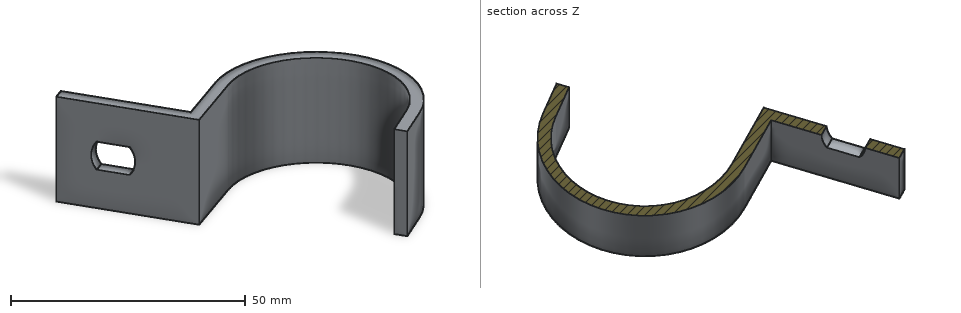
import cadquery as cq
import math

overall_length = 76.1
overall_depth = 40.95
width = 25.0
thickness = 3.0
outer_radius = 23.0
inner_radius = outer_radius - thickness

flange_length = 32.5
hole_x = 12.95
hole_diameter = 10.0
hole_height = 6.6

center_x = flange_length + inner_radius
center_y = overall_depth - outer_radius
free_end_y = 10.1

corner_dx = overall_length - center_x
corner_dy = free_end_y - center_y
corner_distance = math.hypot(corner_dx, corner_dy)
flare = math.atan2(corner_dy, corner_dx) + math.acos(outer_radius / corner_distance)


def arc_point(radius, angle):
    return (center_x + radius * math.cos(angle), center_y + radius * math.sin(angle))


def make_strap():
    """Flange, upright leg, saddle arc and flared free leg, extruded across the width."""
    free_end_thickness = thickness / math.cos(flare)
    return (
        cq.Workplane("XY")
        .moveTo(0, 0)
        .lineTo(flange_length, 0)
        .lineTo(flange_length, center_y)
        .threePointArc(arc_point(inner_radius, math.pi / 2), arc_point(inner_radius, flare))
        .lineTo(overall_length - free_end_thickness, free_end_y)
        .lineTo(overall_length, free_end_y)
        .lineTo(*arc_point(outer_radius, flare))
        .threePointArc(arc_point(outer_radius, math.pi / 2), arc_point(outer_radius, math.pi))
        .lineTo(flange_length - thickness, thickness)
        .lineTo(0, thickness)
        .close()
        .extrude(width)
    )


def make_hole():
    """Round hole through the flange, flattened at top and bottom."""
    hole_plane = cq.Workplane("XZ").center(hole_x, width / 2)
    cylinder = hole_plane.circle(hole_diameter / 2).extrude(-thickness)
    flats = hole_plane.rect(hole_diameter, hole_height).extrude(-thickness)
    return cylinder.intersect(flats)


result = make_strap().cut(make_hole())